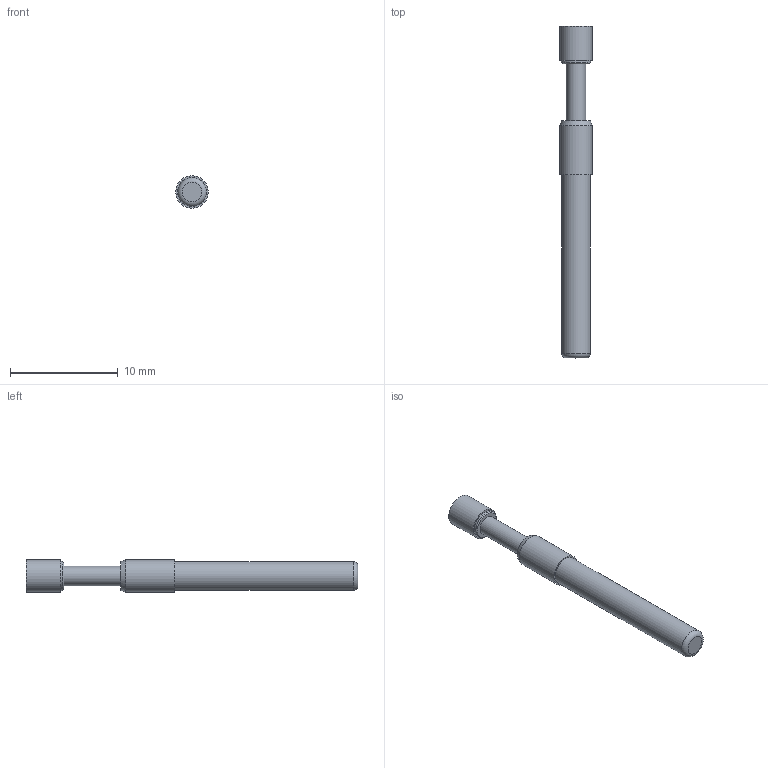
import cadquery as cq


head_diameter = 3.0
collar_diameter = 3.0
neck_diameter = 1.8
head_lip_diameter = 2.7
body_diameter = 2.67

head_length = 3.2
head_lip_length = 0.3
neck_length = 5.3
collar_length = 5.0
body_length = 17.0

lip_edge_chamfer = 0.1
collar_chamfer_width = 0.17
collar_chamfer_length = 0.45
body_end_radius = 0.43

collar_top = collar_length
neck_top = collar_top + neck_length
head_bottom = neck_top + head_lip_length
body_bottom = -body_length


def cylinder(diameter, start, length):
    """Solid cylinder on the Y axis running from start toward +Y."""
    section = cq.Workplane("XZ", origin=(0, start, 0)).circle(diameter / 2)
    return section.extrude(-length)


def make_head():
    """Contact head with a smaller, edge-broken lip under it."""
    head = cylinder(head_diameter, head_bottom, head_length)
    lip = cylinder(head_lip_diameter, neck_top, head_lip_length)
    lip = lip.faces("<Y").edges().chamfer(lip_edge_chamfer)
    return head.union(lip)


def make_collar():
    """Press-fit collar, tapered at the end facing the head."""
    collar = cylinder(collar_diameter, 0, collar_length)
    return collar.faces(">Y").edges().chamfer(collar_chamfer_length, collar_chamfer_width)


def make_body():
    """Barrel below the collar, rounded at its free end."""
    body = cylinder(body_diameter, body_bottom, body_length)
    return body.faces("<Y").edges().fillet(body_end_radius)


neck = cylinder(neck_diameter, collar_top, neck_length)
result = make_body().union(make_collar()).union(neck).union(make_head())